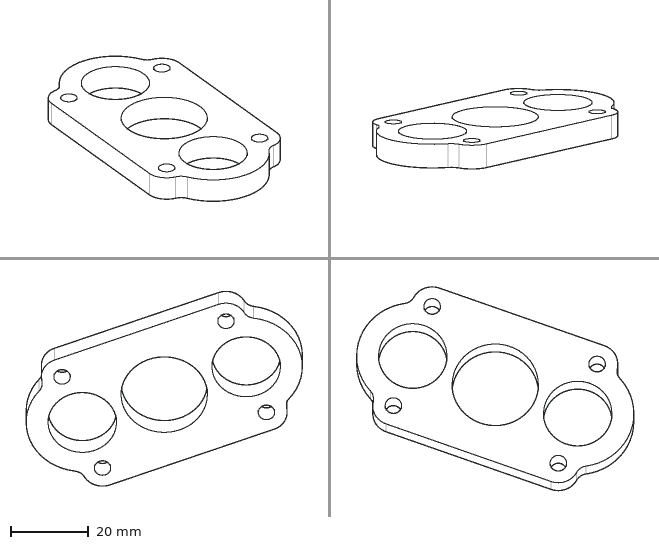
import cadquery as cq
import math

length = 74.35
width = 39.55
thickness = 6.3
corner_radius = 5.35
lobe_radius = 14.5
blend_radius = 3.35
center_bore_diameter = 22.2
side_bore_diameter = 17.6
bolt_hole_diameter = 4.25

lobe_x = length / 2 - lobe_radius
bolt_y = width / 2 - corner_radius


def point_on_arc(center, radius, angle):
    return (center[0] + radius * math.cos(angle), center[1] + radius * math.sin(angle))


def quarter_plate():
    """Plate quadrant with +X and +Y: corner arc, concave blend and end lobe."""
    lobe_center = (lobe_x, 0)
    corner_center = (lobe_x, bolt_y)

    lobe_reach = lobe_radius + blend_radius
    corner_reach = corner_radius + blend_radius
    blend_y = (lobe_reach**2 - corner_reach**2 + bolt_y**2) / (2 * bolt_y)
    blend_center = (lobe_x + math.sqrt(lobe_reach**2 - blend_y**2), blend_y)
    lobe_angle = math.asin(blend_y / lobe_reach)
    corner_angle = math.asin((blend_y - bolt_y) / corner_reach)
    blend_mid_angle = math.pi + (lobe_angle + corner_angle) / 2
    corner_mid_angle = (math.pi / 2 + corner_angle) / 2

    return (
        cq.Workplane("XY")
        .lineTo(length / 2, 0)
        .threePointArc(
            point_on_arc(lobe_center, lobe_radius, lobe_angle / 2),
            point_on_arc(lobe_center, lobe_radius, lobe_angle),
        )
        .threePointArc(
            point_on_arc(blend_center, blend_radius, blend_mid_angle),
            point_on_arc(corner_center, corner_radius, corner_angle),
        )
        .threePointArc(
            point_on_arc(corner_center, corner_radius, corner_mid_angle),
            (lobe_x, width / 2),
        )
        .lineTo(0, width / 2)
        .close()
        .extrude(thickness)
    )


def through_holes(positions, diameter):
    return cq.Workplane("XY").pushPoints(positions).circle(diameter / 2).extrude(thickness)


quarter = quarter_plate()
half = quarter.union(quarter.mirror("YZ"))
plate = half.union(half.mirror("XZ")).clean()

side_bores = [(-lobe_x, 0), (lobe_x, 0)]
bolt_holes = [(x, y) for x in (-lobe_x, lobe_x) for y in (-bolt_y, bolt_y)]
result = (
    plate.cut(through_holes([(0, 0)], center_bore_diameter))
    .cut(through_holes(side_bores, side_bore_diameter))
    .cut(through_holes(bolt_holes, bolt_hole_diameter))
)